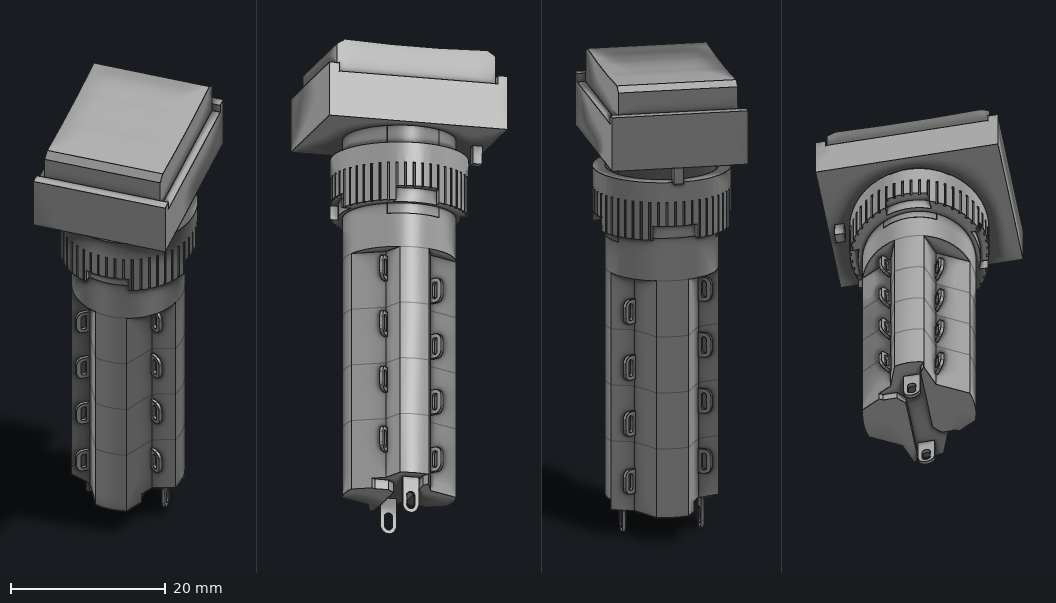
import cadquery as cq
import math


BEZEL_X = 18.0
BEZEL_Y = 24.0
BEZEL_HEIGHT = 7.15
RIM_X = 1.1
RIM_Y = 1.3
LOW_RIM_DROP = 1.1
CAP_X = BEZEL_X - 2 * RIM_X
CAP_Y = BEZEL_Y - 2 * RIM_Y
CAP_TOP = 10.8
CAP_CHAMFER_HEIGHT = 0.7
CAP_CHAMFER_WIDTH = 1.05
DISH_DEPTH = 0.25

PEG_SIZE = 1.25
PEG_LENGTH = 2.4
PEG_Y = 10.4

BARREL_RADIUS = 7.35
BARREL_LENGTH = 16.3
RELIEF_HALF_WIDTH = 3.5
RELIEF_LENGTH = 11.85
RELIEF_RADIUS = 7.0

BLOCK_COUNT = 4
UPPER_BLOCKS_LENGTH = 22.5
BLOCK_PITCH = UPPER_BLOCKS_LENGTH / (BLOCK_COUNT - 1)
END_BLOCK_LENGTH = 9.2
LOBE_X_HALF_WIDTH = 1.95
LOBE_Y_HALF_WIDTH = 2.1
VALLEY_X = 4.25
VALLEY_Y = 3.0
STACK_BOTTOM = -BARREL_LENGTH - UPPER_BLOCKS_LENGTH - END_BLOCK_LENGTH

RECESS_DEPTH = 1.3
RECESS_CEILING = STACK_BOTTOM + RECESS_DEPTH
SLOT_HALF_WIDTH = 1.4
RECESS_OUTER_X = 6.4
RECESS_INNER_X = 3.1
RECESS_Y = 4.2
RECESS_SHOULDER_Y = 2.35
RECESS_STEP = RECESS_SHOULDER_Y - SLOT_HALF_WIDTH
RECESS_FLARE_Y = 2.05
RECESS_MOUTH_X = 3.35
RECESS_MOUTH_Y = 4.7

TAB_THICKNESS = 0.45
TAB_EYE_LENGTH = 2.25

SIDE_TAB_HEIGHT = 3.25
SIDE_TAB_REACH = 1.9
SIDE_TAB_ROOT = 0.6
SIDE_TAB_CORNER_RADIUS = 0.95
SIDE_TAB_EYE_WIDTH = 0.75
SIDE_TAB_EYE_REACH = 0.9
SIDE_TAB_ANGLE = 36.0
HIGH_TAB_DEPTH = 2.35
LOW_TAB_DEPTH = 4.9
END_HIGH_TAB_DEPTH = 2.9
END_LOW_TAB_DEPTH = 5.2

END_TAB_WIDTH = 2.2
END_TAB_EYE_WIDTH = 1.05
END_TAB_X = 5.2
END_TAB_REACH = 4.8
END_TAB_EYE_WALL = (END_TAB_WIDTH - END_TAB_EYE_WIDTH) / 2

NUT_RADIUS = BEZEL_X / 2
NUT_TOP = -2.75
NUT_HEIGHT = 7.7
KNURL_HEIGHT = 5.05
GROOVE_COUNT = 50
GROOVE_WIDTH = 0.25
GROOVE_DEPTH = 0.25
WINDOW_WIDTH = 5.8
WINDOW_HEIGHT = 1.9
WINDOW_RADIUS = 7.9


def box_on(x_size, y_size, bottom, height):
    return cq.Workplane("XY", origin=(0, 0, bottom)).rect(x_size, y_size).extrude(height)


def make_bezel():
    """Rectangular bezel whose rims along the two X sides are lower."""
    bezel = box_on(BEZEL_X, BEZEL_Y, 0, BEZEL_HEIGHT)
    low_zone = box_on(BEZEL_X, CAP_Y, BEZEL_HEIGHT - LOW_RIM_DROP, LOW_RIM_DROP)
    return bezel.cut(low_zone)


def make_cap():
    """Button cap with chamfered Y edges and a shallow cylindrical dish on top."""
    half_y = CAP_Y / 2
    top_half_y = half_y - CAP_CHAMFER_WIDTH
    bottom = BEZEL_HEIGHT - LOW_RIM_DROP
    return (
        cq.Workplane("YZ", origin=(-CAP_X / 2, 0, 0))
        .moveTo(-half_y, bottom)
        .lineTo(half_y, bottom)
        .lineTo(half_y, CAP_TOP - CAP_CHAMFER_HEIGHT)
        .lineTo(top_half_y, CAP_TOP)
        .threePointArc((0, CAP_TOP - DISH_DEPTH), (-top_half_y, CAP_TOP))
        .lineTo(-half_y, CAP_TOP - CAP_CHAMFER_HEIGHT)
        .close()
        .extrude(CAP_X)
    )


def make_peg():
    return box_on(PEG_SIZE, PEG_SIZE, -PEG_LENGTH, PEG_LENGTH).translate((0, PEG_Y, 0))


def make_barrel():
    """Round barrel with a relief of tighter curvature on each X side."""
    barrel = cq.Workplane("XY").circle(BARREL_RADIUS).extrude(-BARREL_LENGTH)
    relief_core = (
        cq.Workplane("XY")
        .center(BARREL_RADIUS - RELIEF_RADIUS, 0)
        .circle(RELIEF_RADIUS)
        .extrude(-RELIEF_LENGTH)
    )
    relief = (
        cq.Workplane("XY")
        .center(BARREL_RADIUS, 0)
        .rect(BARREL_RADIUS, 2 * RELIEF_HALF_WIDTH)
        .extrude(-RELIEF_LENGTH)
        .cut(relief_core)
    )
    return barrel.cut(relief).cut(relief.mirror("YZ"))


def make_block(top, length):
    """Contact block: four round-ended lobes with a V-shaped valley between neighbours."""
    x_lobe_end = math.sqrt(BARREL_RADIUS**2 - LOBE_X_HALF_WIDTH**2)
    y_lobe_end = math.sqrt(BARREL_RADIUS**2 - LOBE_Y_HALF_WIDTH**2)
    return (
        cq.Workplane("XY", origin=(0, 0, top))
        .moveTo(x_lobe_end, -LOBE_X_HALF_WIDTH)
        .threePointArc((BARREL_RADIUS, 0), (x_lobe_end, LOBE_X_HALF_WIDTH))
        .lineTo(VALLEY_X, VALLEY_Y)
        .lineTo(LOBE_Y_HALF_WIDTH, y_lobe_end)
        .threePointArc((0, BARREL_RADIUS), (-LOBE_Y_HALF_WIDTH, y_lobe_end))
        .lineTo(-VALLEY_X, VALLEY_Y)
        .lineTo(-x_lobe_end, LOBE_X_HALF_WIDTH)
        .threePointArc((-BARREL_RADIUS, 0), (-x_lobe_end, -LOBE_X_HALF_WIDTH))
        .lineTo(-VALLEY_X, -VALLEY_Y)
        .lineTo(-LOBE_Y_HALF_WIDTH, -y_lobe_end)
        .threePointArc((0, -BARREL_RADIUS), (LOBE_Y_HALF_WIDTH, -y_lobe_end))
        .lineTo(VALLEY_X, -VALLEY_Y)
        .close()
        .extrude(-length)
    )


def make_end_recess():
    """Cutter for the lower end: a slot along X and a pocket under each X lobe."""
    slot = box_on(2 * RECESS_OUTER_X, 2 * SLOT_HALF_WIDTH, STACK_BOTTOM, RECESS_DEPTH)
    pocket = (
        cq.Workplane("XY", origin=(0, 0, STACK_BOTTOM))
        .polyline([
            (RECESS_INNER_X, SLOT_HALF_WIDTH),
            (RECESS_OUTER_X, SLOT_HALF_WIDTH),
            (BARREL_RADIUS, RECESS_FLARE_Y),
            (BARREL_RADIUS, -RECESS_MOUTH_Y),
            (RECESS_MOUTH_X, -RECESS_MOUTH_Y),
            (RECESS_INNER_X, -RECESS_Y),
            (RECESS_INNER_X, -RECESS_SHOULDER_Y),
            (RECESS_INNER_X - RECESS_STEP, -SLOT_HALF_WIDTH),
        ])
        .close()
        .extrude(RECESS_DEPTH)
    )
    opposite_pocket = pocket.rotate((0, 0, 0), (0, 0, 1), 180)
    return slot.union(pocket).union(opposite_pocket)


def make_side_tab(x_sign, y_sign, centre_z):
    """Upright tab with rounded outer corners and an eye, standing out of one valley."""
    sheet = cq.Workplane("XZ", origin=(0, TAB_THICKNESS / 2, 0))
    tab = (
        sheet.center((SIDE_TAB_REACH - SIDE_TAB_ROOT) / 2, 0)
        .rect(SIDE_TAB_REACH + SIDE_TAB_ROOT, SIDE_TAB_HEIGHT)
        .extrude(TAB_THICKNESS)
        .edges("|Y and >X")
        .fillet(SIDE_TAB_CORNER_RADIUS)
    )
    eye = (
        sheet.center(SIDE_TAB_EYE_REACH, 0)
        .slot2D(TAB_EYE_LENGTH, SIDE_TAB_EYE_WIDTH, 90)
        .extrude(TAB_THICKNESS)
    )
    heading = y_sign * (SIDE_TAB_ANGLE if x_sign > 0 else 180 - SIDE_TAB_ANGLE)
    turned = tab.cut(eye).rotate((0, 0, 0), (0, 0, 1), heading)
    return turned.translate((x_sign * VALLEY_X, y_sign * VALLEY_Y, centre_z))


def make_end_tab(x_sign):
    """Round-ended tab with an eye near its tip, hanging from an X lobe."""
    length = END_TAB_REACH + END_TAB_WIDTH / 2
    tip_z = RECESS_CEILING - END_TAB_REACH
    sheet = cq.Workplane("YZ", origin=(x_sign * END_TAB_X - TAB_THICKNESS / 2, 0, tip_z))
    tab = sheet.center(0, length / 2).slot2D(length, END_TAB_WIDTH, 90).extrude(TAB_THICKNESS)
    eye = (
        sheet.center(0, END_TAB_EYE_WALL + TAB_EYE_LENGTH / 2)
        .slot2D(TAB_EYE_LENGTH, END_TAB_EYE_WIDTH, 90)
        .extrude(TAB_THICKNESS)
    )
    return tab.cut(eye)


def make_switch():
    switch = make_bezel().union(make_cap()).union(make_peg()).union(make_barrel())
    for index in range(BLOCK_COUNT):
        is_end = index == BLOCK_COUNT - 1
        top = -BARREL_LENGTH - index * BLOCK_PITCH
        length = END_BLOCK_LENGTH if is_end else BLOCK_PITCH
        high_depth = END_HIGH_TAB_DEPTH if is_end else HIGH_TAB_DEPTH
        low_depth = END_LOW_TAB_DEPTH if is_end else LOW_TAB_DEPTH
        switch = switch.union(make_block(top, length), clean=False)
        for x_sign in (-1, 1):
            switch = switch.union(make_side_tab(x_sign, -x_sign, top - high_depth), clean=False)
            switch = switch.union(make_side_tab(x_sign, x_sign, top - low_depth), clean=False)
    switch = switch.cut(make_end_recess(), clean=False)
    for x_sign in (-1, 1):
        switch = switch.union(make_end_tab(x_sign), clean=False)
    return switch


def make_nut():
    """Ring nut with knurl grooves and four windows in its lower edge."""
    bottom = NUT_TOP - NUT_HEIGHT
    nut = (
        cq.Workplane("XY", origin=(0, 0, bottom))
        .circle(NUT_RADIUS)
        .circle(BARREL_RADIUS)
        .extrude(NUT_HEIGHT)
    )
    grooves = (
        cq.Workplane("XY", origin=(0, 0, bottom))
        .polarArray(NUT_RADIUS, -90, 360, GROOVE_COUNT)
        .rect(2 * GROOVE_DEPTH, GROOVE_WIDTH)
        .extrude(KNURL_HEIGHT)
    )
    window_core = cq.Workplane("XY", origin=(0, 0, bottom)).circle(WINDOW_RADIUS).extrude(WINDOW_HEIGHT)
    windows = (
        box_on(2 * NUT_RADIUS, WINDOW_WIDTH, bottom, WINDOW_HEIGHT)
        .union(box_on(WINDOW_WIDTH, 2 * NUT_RADIUS, bottom, WINDOW_HEIGHT))
        .cut(window_core)
    )
    return nut.cut(grooves).cut(windows)


switch = make_switch()
nut = make_nut()

result = cq.Compound.makeCompound([switch.solids().val(), nut.solids().val()])